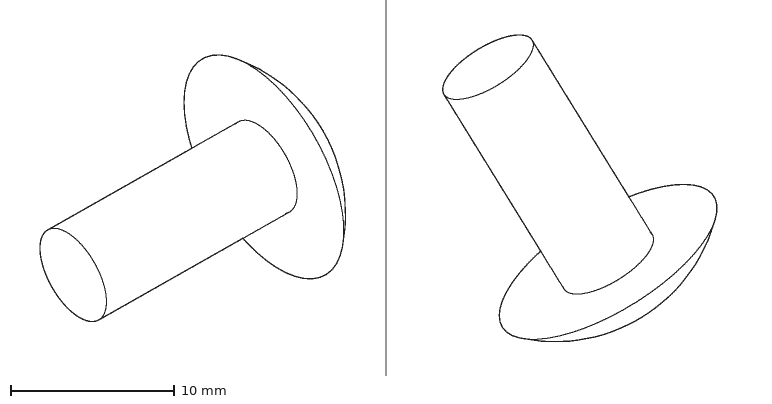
import cadquery as cq
import math

head_diameter = 15.24
dome_radius = 10.16
shank_diameter = 6.35
shank_length = 15.24

head_radius = head_diameter / 2
shank_radius = shank_diameter / 2
dome_centre_y = -math.sqrt(dome_radius**2 - head_radius**2)
head_height = dome_centre_y + dome_radius

half_angle = math.asin(head_radius / dome_radius) / 2
dome_mid_point = (
    -dome_radius * math.sin(half_angle),
    dome_centre_y + dome_radius * math.cos(half_angle),
)


def make_rivet():
    """Revolve the half profile about the Y axis; the flat underside of the head lies at Y = 0."""
    profile = (
        cq.Workplane("XY")
        .moveTo(0, -shank_length)
        .lineTo(-shank_radius, -shank_length)
        .lineTo(-shank_radius, 0)
        .lineTo(-head_radius, 0)
        .threePointArc(dome_mid_point, (0, head_height))
        .close()
    )
    return profile.revolve(360, (0, 0, 0), (0, 1, 0))


result = make_rivet()